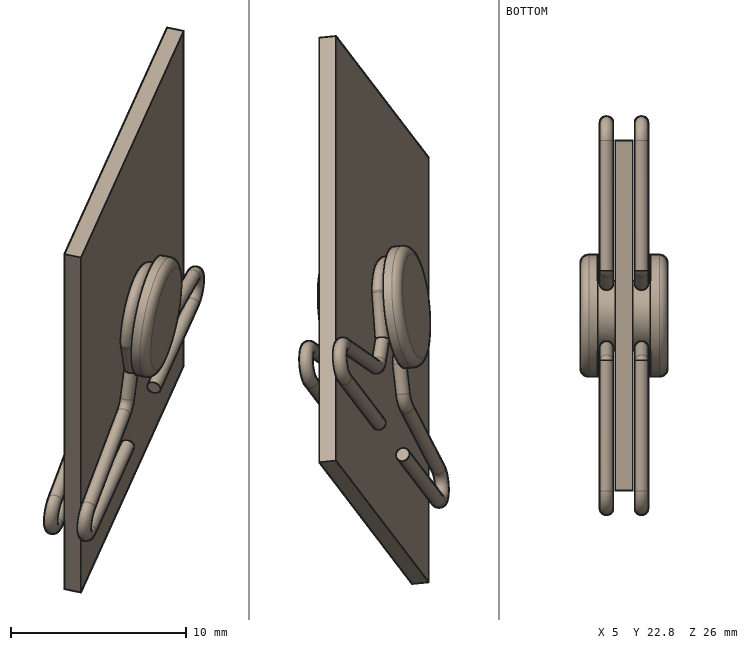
import cadquery as cq
import math


plate_thickness = 1.0
plate_width = 20.0
plate_height = 26.0

head_diameter = 7.0
head_thickness = 1.0
head_edge_radius = 0.5
post_diameter = 4.0
overall_thickness = 5.0
head_outer_x = overall_thickness / 2
head_inner_x = head_outer_x - head_thickness

wire_diameter = 0.8
wire_x = (plate_thickness / 2 + head_inner_x) / 2
loop_radius = 2.6
waist_y = 1.85
waist_z = -2.65
leg_angle = 25.0
arm_angle = 10.0
elbow_radius = 1.0
hook_radius = 1.0
hook_center_y = 10.0
hook_center_z = -7.0
tail_end_y = 2.55


def make_plate_with_studs():
    body = cq.Workplane("XY").box(plate_thickness, plate_width, plate_height)
    for side in (-1, 1):
        post = (
            cq.Workplane("YZ")
            .circle(post_diameter / 2)
            .extrude(side * head_inner_x)
        )
        head = (
            cq.Workplane("YZ", origin=(side * head_inner_x, 0, 0))
            .circle(head_diameter / 2)
            .extrude(side * head_thickness)
            .faces(">X" if side > 0 else "<X")
            .edges()
            .fillet(head_edge_radius)
        )
        body = body.union(post).union(head)
    return body


def half_wire_points():
    """Points (y, z) of the +Y half of the wire, from its tail end up to the loop."""
    leg = math.radians(leg_angle)
    arm = math.radians(arm_angle)

    def on_hook(angle):
        return (
            hook_center_y + hook_radius * math.cos(angle),
            hook_center_z + hook_radius * math.sin(angle),
        )

    tail_end = (tail_end_y, hook_center_z - hook_radius)
    hook_start = on_hook(-math.pi / 2)
    hook_middle = on_hook(-arm / 2)
    hook_end = on_hook(math.pi / 2 - arm)

    height_above_arm = waist_z - hook_end[1] - (hook_end[0] - waist_y) * math.tan(arm)
    leg_to_corner = height_above_arm / (math.cos(leg) - math.sin(leg) * math.tan(arm))
    elbow_turn = math.pi / 2 - leg - arm
    leg_length = leg_to_corner - elbow_radius * math.tan(elbow_turn / 2)
    leg_end = (
        waist_y + leg_length * math.sin(leg),
        waist_z - leg_length * math.cos(leg),
    )
    elbow_center_y = leg_end[0] + elbow_radius * math.cos(leg)
    elbow_center_z = leg_end[1] + elbow_radius * math.sin(leg)

    def on_elbow(tilt):
        return (
            elbow_center_y - elbow_radius * math.cos(tilt),
            elbow_center_z - elbow_radius * math.sin(tilt),
        )

    elbow_middle = on_elbow(leg + elbow_turn / 2)
    arm_start = on_elbow(leg + elbow_turn)
    waist = (waist_y, waist_z)
    loop_end = (loop_radius, 0)
    return [
        tail_end, hook_start, hook_middle, hook_end,
        arm_start, elbow_middle, leg_end, waist, loop_end,
    ]


def make_wire(plane_x):
    """Sweep the round wire along its path, with ball joints at the waist and loop kinks."""
    right_side = half_wire_points()
    left_side = [(-y, z) for y, z in right_side]
    tail_end, hook_start, hook_middle, hook_end = right_side[:4]
    arm_start, elbow_middle, leg_end, waist, loop_end = right_side[4:]
    left_tail, left_hook_start, left_hook_middle, left_hook_end = left_side[:4]
    left_arm_start, left_elbow_middle, left_leg_end, left_waist, left_loop_end = left_side[4:]

    path = (
        cq.Workplane("YZ", origin=(plane_x, 0, 0))
        .moveTo(*tail_end)
        .lineTo(*hook_start)
        .threePointArc(hook_middle, hook_end)
        .lineTo(*arm_start)
        .threePointArc(elbow_middle, leg_end)
        .lineTo(*waist)
        .lineTo(*loop_end)
        .threePointArc((0, loop_radius), left_loop_end)
        .lineTo(*left_waist)
        .lineTo(*left_leg_end)
        .threePointArc(left_elbow_middle, left_arm_start)
        .lineTo(*left_hook_end)
        .threePointArc(left_hook_middle, left_hook_start)
        .lineTo(*left_tail)
    )
    return (
        cq.Workplane("XZ", origin=(plane_x, tail_end[0], tail_end[1]))
        .circle(wire_diameter / 2)
        .sweep(path, transition="round")
    )


plate_with_studs = make_plate_with_studs()
wires = [make_wire(side * wire_x) for side in (-1, 1)]

result = cq.Compound.makeCompound([plate_with_studs.val(), *[wire.val() for wire in wires]])